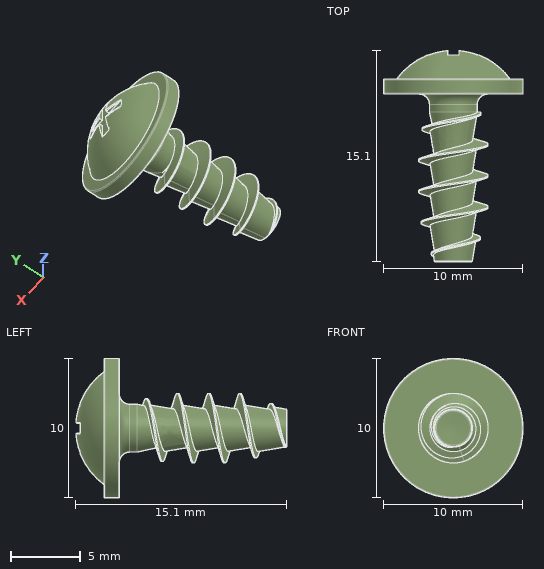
import cadquery as cq
import math


FLANGE_RADIUS = 10.0 / 2
FLANGE_THICKNESS = 1.1
FLANGE_EDGE_ROUND = 0.08
DOME_RADIUS = 4.05
DOME_HEIGHT = 2.06
SLOT_WIDTH_ALONG_X = 0.68
SLOT_WIDTH_ALONG_Z = 0.79
SLOT_DEPTH = 0.35
SLOT_RIM_CHAMFER = 0.08

SHANK_LENGTH = 12.0
NECK_RADIUS = 1.72
NECK_LENGTH = 1.27
NECK_FILLET = 0.73
NECK_TAPER_END = 2.65
TIP_RADIUS = 1.36
TIP_CHAMFER = 0.05
TIP_DIMPLE_RADIUS = 1.23
TIP_DIMPLE_DEPTH = 0.09

PITCH = 2.24
CORE_MIN_RADIUS = 1.42
CORE_SLOPE = math.tan(math.radians(9.4))
CORE_RADIUS_UNDER_CREST = 1.71

CREST_RADIUS = 2.5
CREST_WIDTH = 0.09
FLANK_SLOPE = math.tan(math.radians(15))
THREAD_TURNS = 6
THREAD_END = -12.12
THREAD_PHASE = math.radians(18)
RUN_IN_RADIUS = 1.85
RUN_IN_START = 0.95
RUN_IN_TURNS = 1.2
RUN_OUT_TURNS = 1.55
POINTS_PER_TURN = 24


def revolve_y(profile):
    """Turn a closed XY profile around the Y axis."""
    return profile.close().revolve(360, (0, 0, 0), (0, 1, 0))


def make_head():
    """Flange with rounded edges under a spherical dome."""
    top = FLANGE_THICKNESS + DOME_HEIGHT
    sphere_radius = (DOME_RADIUS**2 + DOME_HEIGHT**2) / (2 * DOME_HEIGHT)
    half_angle = math.asin(DOME_RADIUS / sphere_radius) / 2
    mid_point = (sphere_radius * math.sin(half_angle), top - sphere_radius * (1 - math.cos(half_angle)))
    dome = revolve_y(
        cq.Workplane("XY")
        .lineTo(0, top)
        .threePointArc(mid_point, (DOME_RADIUS, FLANGE_THICKNESS))
        .lineTo(DOME_RADIUS, 0)
    )
    flange = revolve_y(
        cq.Workplane("XY")
        .lineTo(0, FLANGE_THICKNESS)
        .lineTo(FLANGE_RADIUS, FLANGE_THICKNESS)
        .lineTo(FLANGE_RADIUS, 0)
    ).edges().fillet(FLANGE_EDGE_ROUND)
    head = flange.union(dome)
    return cut_cross_slot(head, top)


def cut_cross_slot(head, top):
    """Two crossing slots in the dome; the one along X has a chamfered rim."""
    length = 2 * DOME_RADIUS
    height = 2 * SLOT_DEPTH
    blank = cq.Workplane("XY", origin=(0, top, 0))
    head = head.cut(blank.box(length, height, SLOT_WIDTH_ALONG_X))
    rims = cq.selectors.BoxSelector(
        (-SLOT_WIDTH_ALONG_Z, top - SLOT_DEPTH / 2, -SLOT_WIDTH_ALONG_X),
        (SLOT_WIDTH_ALONG_Z, top, SLOT_WIDTH_ALONG_X),
    )
    head = head.edges("%CIRCLE").edges(rims).chamfer(SLOT_RIM_CHAMFER)
    return head.cut(blank.box(SLOT_WIDTH_ALONG_Z, height, length))


def make_neck():
    """Filleted cylinder under the head, then a cone down to the smallest core radius."""
    fillet_middle = NECK_FILLET * (1 - math.sqrt(0.5))
    return revolve_y(
        cq.Workplane("XY")
        .lineTo(NECK_RADIUS + NECK_FILLET, 0)
        .threePointArc((NECK_RADIUS + fillet_middle, -fillet_middle), (NECK_RADIUS, -NECK_FILLET))
        .lineTo(NECK_RADIUS, -NECK_LENGTH)
        .lineTo(CORE_MIN_RADIUS, -NECK_TAPER_END)
        .lineTo(0, -NECK_TAPER_END)
    )


def crest_height(turn):
    """Position of the crest along Y."""
    return THREAD_END + PITCH * (THREAD_TURNS - turn)


def crest_radius(turn):
    """Crest radius, growing after the neck and fading out at the tip."""
    rise = (CREST_RADIUS - RUN_IN_RADIUS) * (turn - RUN_IN_START) / RUN_IN_TURNS
    run_in = RUN_IN_RADIUS + max(0, rise)
    run_out = TIP_RADIUS + (CREST_RADIUS - TIP_RADIUS) * (THREAD_TURNS - turn) / RUN_OUT_TURNS
    return min(run_in, CREST_RADIUS, run_out)


def core_radius(turn):
    """Core radius in line with the crest, held inside the cone that narrows to the tip."""
    tip_cone = TIP_RADIUS + CORE_SLOPE * (crest_height(turn) + SHANK_LENGTH)
    return min(CORE_RADIUS_UNDER_CREST, tip_cone)


def upper_root(turn):
    """Radius and offset from the crest where the head-side flank meets the core of the turn before."""
    core = core_radius(turn - 1) - CORE_SLOPE * PITCH
    offset = CREST_WIDTH / 2 + (crest_radius(turn) - core) * FLANK_SLOPE
    offset /= 1 + CORE_SLOPE * FLANK_SLOPE
    return core + CORE_SLOPE * offset, offset


def lower_root(turn):
    """Radius and offset from the crest where the tip-side flank meets the core of the same turn."""
    core = core_radius(turn)
    offset = CREST_WIDTH / 2 + (crest_radius(turn) - core) * FLANK_SLOPE
    offset /= 1 - CORE_SLOPE * FLANK_SLOPE
    return core - CORE_SLOPE * offset, -offset


def upper_crest(turn):
    return crest_radius(turn), CREST_WIDTH / 2


def lower_crest(turn):
    return crest_radius(turn), -CREST_WIDTH / 2


def next_root(turn):
    """Head-side root of the following turn, where this turn's band of core ends."""
    radius, offset = upper_root(turn + 1)
    return radius, offset - PITCH


def axis_above(turn):
    return 0, upper_root(turn)[1]


def axis_below(turn):
    return 0, next_root(turn)[1]


def helix_point(corner, turn):
    """Point of the right-hand helix traced by one corner of the thread section."""
    radius, offset = corner(turn)
    angle = 2 * math.pi * turn + THREAD_PHASE
    return cq.Vector(radius * math.sin(angle), crest_height(turn) + offset, -radius * math.cos(angle))


def helical_face(first_corner, second_corner, turn):
    """Face swept over one turn by the straight line between two corners."""
    turns = [turn + i / POINTS_PER_TURN for i in range(POINTS_PER_TURN + 1)]
    rails = [
        cq.Edge.makeSpline([helix_point(corner, t) for t in turns])
        for corner in (first_corner, second_corner)
    ]
    return cq.Face.makeRuledSurface(*rails)


def make_threaded_core():
    """Core and thread as one solid, closed inside the head and past the tip."""
    outline = [upper_root, upper_crest, lower_crest, lower_root, next_root]
    faces = [
        helical_face(outline[i], outline[i + 1], turn)
        for turn in range(THREAD_TURNS)
        for i in range(len(outline) - 1)
    ]
    faces.append(helical_face(axis_above, upper_root, 0))
    faces.append(helical_face(next_root, axis_below, THREAD_TURNS - 1))
    for turn in (0, THREAD_TURNS):
        corners = [helix_point(corner, turn) for corner in [axis_above, *outline, axis_below]]
        faces.append(cq.Face.makeFromWires(cq.Wire.makePolygon(corners, close=True)))
    return cq.Workplane(cq.Solid.makeSolid(cq.Shell.makeShell(faces)).fix())


def make_threaded_shank():
    """Threaded core cut square at the neck and by a chamfer and a shallow conical dimple at the tip."""
    reach = 2 * CREST_RADIUS
    tip_face_radius = TIP_RADIUS - TIP_CHAMFER
    space = revolve_y(
        cq.Workplane("XY")
        .moveTo(0, -NECK_LENGTH)
        .lineTo(reach, -NECK_LENGTH)
        .lineTo(reach, reach - tip_face_radius - SHANK_LENGTH)
        .lineTo(tip_face_radius, -SHANK_LENGTH)
        .lineTo(TIP_DIMPLE_RADIUS, -SHANK_LENGTH)
        .lineTo(0, TIP_DIMPLE_DEPTH - SHANK_LENGTH)
    )
    return make_threaded_core().intersect(space)


result = make_head().union(make_neck()).union(make_threaded_shank())